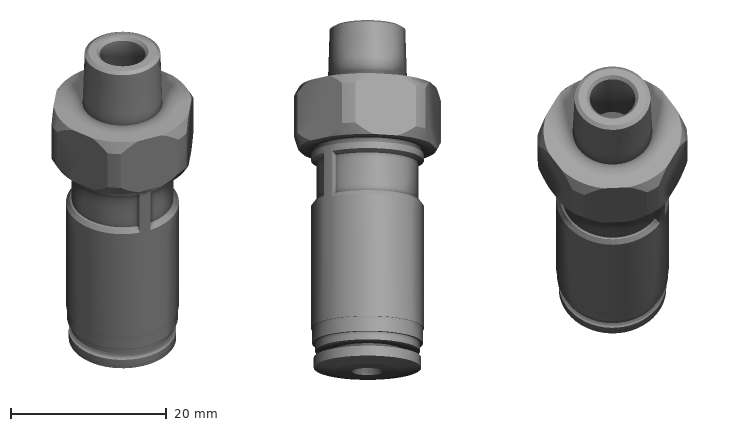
import cadquery as cq

total_height = 45.3

stub_length = 8.0
stub_base_diameter = 10.25
stub_end_diameter = 9.75
stub_tip_diameter = 8.75
stub_chamfer_height = 0.3

nut_height = 8.0
nut_across_flats = 17.45
nut_corner_diameter = 19.2
nut_face_diameter = 17.7
nut_chamfer_height = 1.35

collar_diameter = 13.8
collar_height = 0.65
body_diameter = 14.5
sleeve_diameter = 14.25
sleeve_top = 5.65
sleeve_bottom = 3.7
end_ring_diameter = 13.5
end_ring_bottom = 2.67

neck_diameter = 9.25
neck_root_diameter = 9.35
neck_root_top = 2.15
flange_diameter = 13.8
flange_top = 1.8
flange_cone_height = 0.5
flange_face_diameter = 8.8

window_floor_diameter = 13.05
window_ledge_diameter = 13.6
window_top = 27.75
window_bottom = 21.75
window_top_bevel = 0.4
window_bottom_bevel = 0.6
rib_width = 1.5

through_diameter = 4.0
bore_diameter = 5.9
bore_mouth_diameter = 6.65
bore_depth = stub_length

stub_base = total_height - stub_length
nut_base = stub_base - nut_height
body_top = nut_base - collar_height
bore_chamfer_height = (bore_mouth_diameter - bore_diameter) / 2


def turned(profile):
    """Revolve (diameter, height) points, closed along the Z axis."""
    first_height = profile[0][1]
    last_height = profile[-1][1]
    points = [(diameter / 2, height) for diameter, height in profile]
    outline = [(0, first_height), *points, (0, last_height)]
    return cq.Workplane("XZ").polyline(outline).close().revolve(360, (0, 0), (0, 1))


def make_body():
    """Flange, neck, stepped sleeve, main barrel and collar."""
    return turned([
        (flange_face_diameter, 0),
        (flange_diameter, flange_cone_height),
        (flange_diameter, flange_top),
        (neck_root_diameter, flange_top),
        (neck_root_diameter, neck_root_top),
        (neck_diameter, neck_root_top),
        (neck_diameter, end_ring_bottom),
        (end_ring_diameter, end_ring_bottom),
        (end_ring_diameter, sleeve_bottom),
        (sleeve_diameter, sleeve_bottom),
        (sleeve_diameter, sleeve_top),
        (body_diameter, sleeve_top),
        (body_diameter, body_top),
        (collar_diameter, body_top),
        (collar_diameter, nut_base),
    ])


def make_windows():
    """Cutter with bevelled ends and a ledge at the bottom, interrupted by the two ribs."""
    barrel = turned([(nut_corner_diameter, window_bottom), (nut_corner_diameter, window_top)])
    core = turned([
        (body_diameter, window_bottom),
        (window_ledge_diameter, window_bottom + window_bottom_bevel),
        (window_floor_diameter, window_bottom + window_bottom_bevel),
        (window_floor_diameter, window_top - window_top_bevel),
        (body_diameter, window_top),
    ])
    ribs = (
        cq.Workplane("XY")
        .workplane(offset=window_bottom)
        .rect(nut_corner_diameter, rib_width)
        .extrude(window_top - window_bottom)
    )
    return barrel.cut(core).cut(ribs)


def make_nut():
    """Hexagon with flats facing X, rounded corners and chamfered ends."""
    hexagon = (
        cq.Workplane("XY")
        .workplane(offset=nut_base)
        .polygon(6, nut_across_flats, circumscribed=True)
        .extrude(nut_height)
    )
    envelope = turned([
        (nut_face_diameter, nut_base),
        (nut_corner_diameter, nut_base + nut_chamfer_height),
        (nut_corner_diameter, stub_base - nut_chamfer_height),
        (nut_face_diameter, stub_base),
    ])
    return hexagon.intersect(envelope)


def make_stub():
    """Slightly tapered stub with a chamfered tip."""
    return turned([
        (stub_base_diameter, stub_base),
        (stub_end_diameter, total_height - stub_chamfer_height),
        (stub_tip_diameter, total_height),
    ])


def make_bore():
    """Through hole, widened in the stub and chamfered at the mouth."""
    return turned([
        (through_diameter, 0),
        (through_diameter, total_height - bore_depth),
        (bore_diameter, total_height - bore_depth),
        (bore_diameter, total_height - bore_chamfer_height),
        (bore_mouth_diameter, total_height),
    ])


result = make_body().cut(make_windows()).union(make_nut()).union(make_stub()).cut(make_bore())